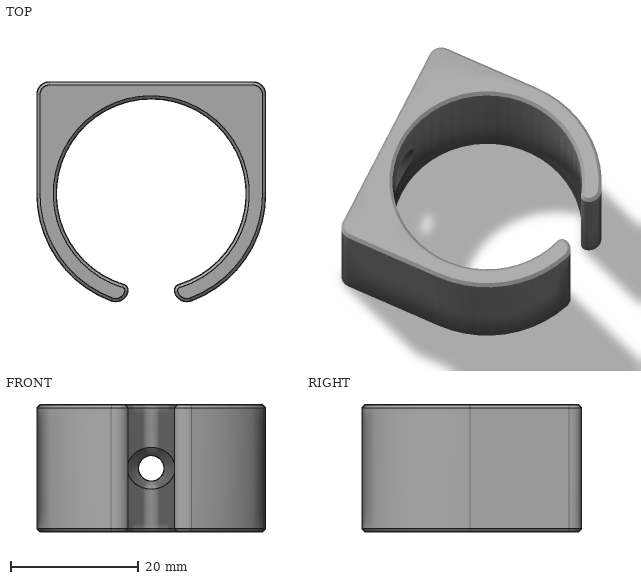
import cadquery as cq

width = 36.0
height = 20.0
outer_radius = width / 2
back_distance = 17.6
bore_radius = 14.9

opening_width = 7.2
tip_outer_fillet = 2.0
tip_inner_fillet = 1.0

corner_fillet = 2.0
edge_chamfer = 0.5

screw_diameter = 4.0
countersink_diameter = 6.55
countersink_depth = (countersink_diameter - screw_diameter) / 2
cone_overrun = 1.8


def clip_body():
    """D-shaped block with a bore and an opening opposite the flat back."""
    round_side = cq.Workplane("XY").circle(outer_radius).extrude(height)
    square_side = (
        cq.Workplane("XY")
        .rect(width, back_distance)
        .extrude(height)
        .translate((0, back_distance / 2, 0))
        .edges("|Z and >Y")
        .fillet(corner_fillet)
    )
    front_half = (
        cq.Workplane("XY")
        .rect(width, outer_radius)
        .extrude(height)
        .translate((0, -outer_radius / 2, 0))
    )
    bore = cq.Workplane("XY").circle(bore_radius).extrude(height)
    opening = (
        cq.Workplane("XY")
        .rect(opening_width, outer_radius)
        .extrude(height)
        .translate((0, -outer_radius / 2, 0))
    )
    return round_side.intersect(front_half).union(square_side).cut(bore).cut(opening)


def round_tips(body):
    """Round the outer corner of each arm tip, then blend it into the bore."""
    body = body.edges("|Z and <Y").fillet(tip_outer_fillet)
    half_gap = opening_width / 2
    inner_y = -((bore_radius**2 - half_gap**2) ** 0.5)
    search_margin = 0.07
    for side in (-1, 1):
        x = side * half_gap
        corner = cq.selectors.BoxSelector(
            (x - search_margin, inner_y - search_margin, 0),
            (x + search_margin, inner_y + search_margin, height),
        )
        body = body.edges("|Z").edges(corner).fillet(tip_inner_fillet)
    return body


def screw_cutter():
    """Through hole along Y with a conical seat opening into the bore."""
    screw_radius = screw_diameter / 2
    cone_start = bore_radius + countersink_depth
    cone_end = bore_radius - cone_overrun
    cone_end_radius = screw_radius + cone_start - cone_end
    return (
        cq.Workplane("XY")
        .moveTo(0, back_distance)
        .lineTo(screw_radius, back_distance)
        .lineTo(screw_radius, cone_start)
        .lineTo(cone_end_radius, cone_end)
        .lineTo(0, cone_end)
        .close()
        .revolve(360, (0, 0, 0), (0, 1, 0))
        .translate((0, 0, height / 2))
    )


body = round_tips(clip_body())
body = body.faces("<Z or >Z").edges().chamfer(edge_chamfer)
result = body.cut(screw_cutter())